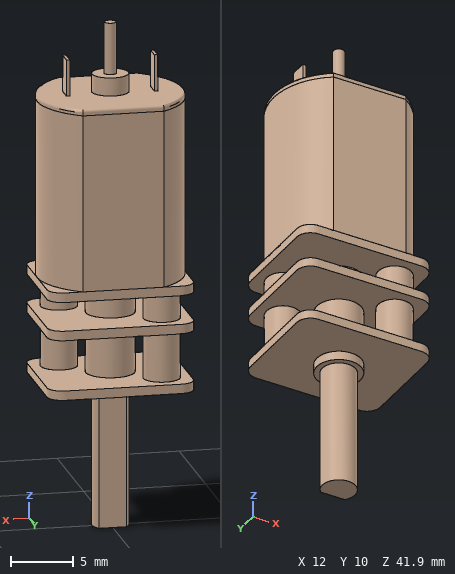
import cadquery as cq

OVERALL_HEIGHT = 41.85
WIDTH = 12.0
DEPTH = 10.0

PLATE_THICKNESS = 0.8
PLATE_CORNER_RADIUS = 1.25
UPPER_GAP = 2.4
LOWER_GAP = 4.2
POST_DIAMETER = 3.0
POST_X = 3.65
POST_Y = 2.65
COLUMN_DIAMETER = 4.0
COLLAR_HEIGHT = 0.8

MOTOR_HEIGHT = 15.15
CAP_THICKNESS = 0.5
CAP_FILLET = 0.25
BOSS_DIAMETER = 3.0
BOSS_HEIGHT = 1.5

TERMINAL_THICKNESS = 0.3
TERMINAL_WIDTH = 1.5
TERMINAL_HEIGHT = 3.0
TERMINAL_X = 3.6

ROD_DIAMETER = 1.0
OUTPUT_DIAMETER = 3.0
OUTPUT_FLAT_OFFSET = 1.0
OUTPUT_LENGTH = 11.17

can_height = MOTOR_HEIGHT - CAP_THICKNESS
upper_plate_z = -PLATE_THICKNESS
middle_plate_z = upper_plate_z - UPPER_GAP - PLATE_THICKNESS
lower_plate_z = middle_plate_z - LOWER_GAP - PLATE_THICKNESS
collar_z = lower_plate_z - COLLAR_HEIGHT
shaft_bottom_z = collar_z - OUTPUT_LENGTH
shaft_top_z = shaft_bottom_z + OVERALL_HEIGHT


def cylinder(diameter, bottom, top, x=0.0, y=0.0):
    """Upright cylinder between two levels, on the main axis unless shifted."""
    return cq.Workplane("XY", origin=(x, y, bottom)).circle(diameter / 2).extrude(top - bottom)


def flatted_cylinder(bottom, height):
    """Motor outline: a cylinder cut by two flats, facing -Y and +Y."""
    flats = cq.Workplane("XY", origin=(0, 0, bottom)).rect(WIDTH, DEPTH).extrude(height)
    return cylinder(WIDTH, bottom, bottom + height).intersect(flats)


def bore(body):
    """Cut the hole that the shaft's rod runs through."""
    return body.cut(cylinder(ROD_DIAMETER, collar_z, shaft_top_z))


def make_plate(bottom):
    plate = cq.Workplane("XY", origin=(0, 0, bottom)).rect(WIDTH, DEPTH).extrude(PLATE_THICKNESS)
    return plate.edges("|Z").fillet(PLATE_CORNER_RADIUS)


def make_gearbox():
    """Plates, posts, column and the collar under the lowest plate, as one body."""
    gearbox = cylinder(COLUMN_DIAMETER, collar_z, 0)
    for plate_z in (upper_plate_z, middle_plate_z, lower_plate_z):
        gearbox = gearbox.union(make_plate(plate_z))
    for side in (-1, 1):
        gearbox = gearbox.union(cylinder(POST_DIAMETER, lower_plate_z, 0, side * POST_X, -side * POST_Y))
    return bore(gearbox)


def make_can():
    return bore(flatted_cylinder(0, can_height))


def make_end_cap():
    """Lid with a rounded upper rim and a bearing boss."""
    lid = flatted_cylinder(can_height, CAP_THICKNESS).faces(">Z").edges().fillet(CAP_FILLET)
    boss = cylinder(BOSS_DIAMETER, can_height, MOTOR_HEIGHT + BOSS_HEIGHT)
    return bore(lid.union(boss))


def make_terminal(x):
    """Thin upright tab on the end cap."""
    base = cq.Workplane("XY", origin=(x, 0, MOTOR_HEIGHT))
    return base.rect(TERMINAL_THICKNESS, TERMINAL_WIDTH).extrude(TERMINAL_HEIGHT)


def make_shaft():
    """Rod whose output end is a thicker D-section that stops under the collar."""
    radius = OUTPUT_DIAMETER / 2
    cutter_depth = radius - OUTPUT_FLAT_OFFSET
    cutter = cq.Workplane("XY", origin=(0, OUTPUT_FLAT_OFFSET + cutter_depth / 2, shaft_bottom_z))
    cutter = cutter.rect(OUTPUT_DIAMETER, cutter_depth).extrude(OUTPUT_LENGTH)
    output_end = cylinder(OUTPUT_DIAMETER, shaft_bottom_z, collar_z).cut(cutter)
    return output_end.union(cylinder(ROD_DIAMETER, shaft_bottom_z, shaft_top_z))


gearbox = make_gearbox()
can = make_can()
end_cap = make_end_cap()
shaft = make_shaft()
terminals = [make_terminal(side * TERMINAL_X) for side in (-1, 1)]

result = cq.Compound.makeCompound([
    gearbox.val(),
    can.val(),
    end_cap.val(),
    shaft.val(),
    *[terminal.val() for terminal in terminals],
])